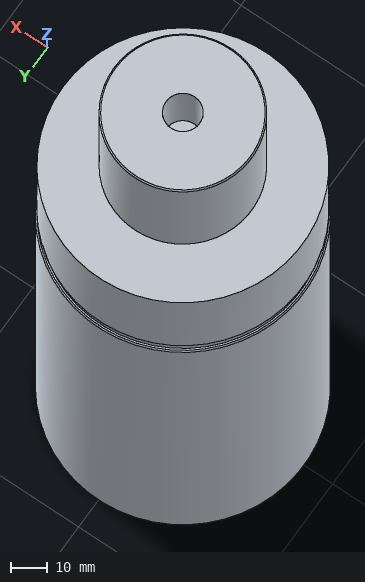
import cadquery as cq

total_height = 223.0

body_diameter = 81.0
body_height = 141.2
body_edge_chamfer = 0.5

groove_diameter = 79.0
groove_width = 3.8

collar_diameter = 80.0
collar_top = 180.0

rod_diameter = 46.0
rod_edge_chamfer = 0.5

rod_hole_diameter = 11.2
rod_hole_depth = 22.3


def cylinder(diameter, bottom, top):
    """Solid cylinder on the Z axis between two heights."""
    return cq.Workplane("XY").workplane(offset=bottom).circle(diameter / 2).extrude(top - bottom)


groove_top = body_height + groove_width
body = cylinder(body_diameter, 0, body_height).faces(">Z").chamfer(body_edge_chamfer)
groove = cylinder(groove_diameter, body_height, groove_top)
collar = cylinder(collar_diameter, groove_top, collar_top)
rod = cylinder(rod_diameter, collar_top, total_height).faces(">Z").chamfer(rod_edge_chamfer)

rod_hole = cylinder(rod_hole_diameter, total_height - rod_hole_depth, total_height)

result = body.union(groove).union(collar).union(rod).cut(rod_hole)